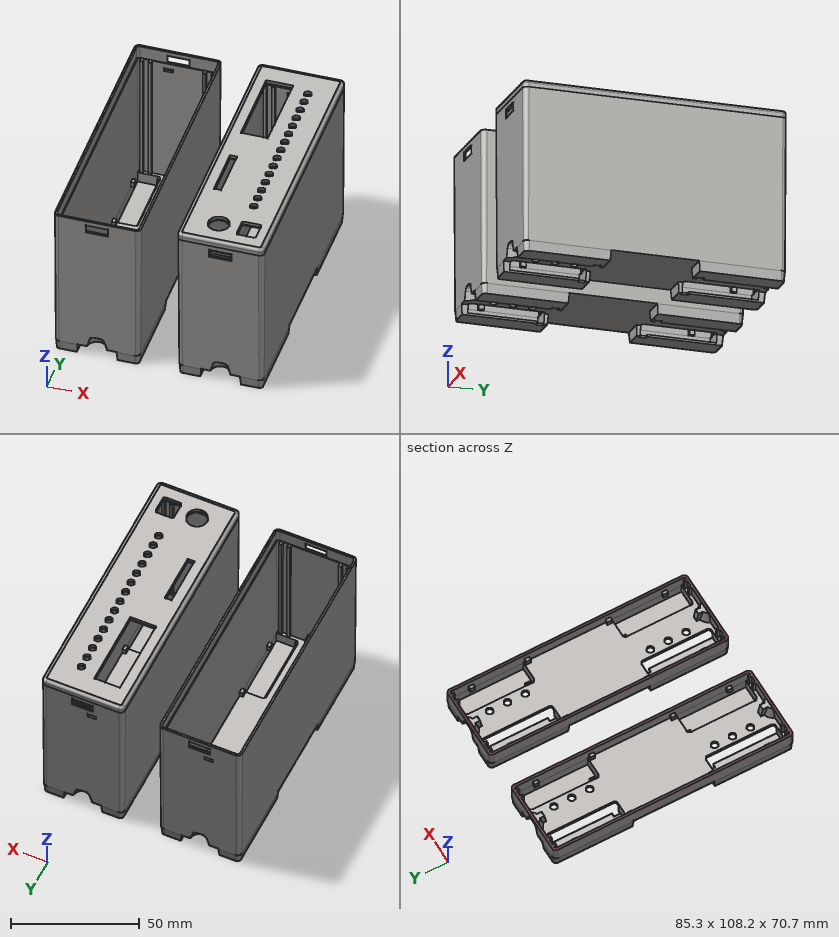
import cadquery as cq
import math


length = 108.2
width = 35.1
total_width = 85.3
module_pitch = total_width - width
corner_radius = 2.0

foot_height = 4.2
rim_z = 67.8
top_z = 70.7

wall = 1.3
floor_thickness = 1.3
lip_depth = 5.7
lip_wall = 0.9
ledge_width = 0.3
shell_inset = 0.3
wall_draft = math.degrees(math.atan2(shell_inset, rim_z - foot_height))
floor_width = width - 2 * shell_inset
floor_length = length - 2 * shell_inset
inner_width = floor_width - 2 * wall
inner_length = floor_length - 2 * wall
ledge_z = rim_z - lip_depth
floor_top_z = foot_height + floor_thickness
cavity_width = width - 2 * (lip_wall + ledge_width)
cavity_length = length - 2 * (lip_wall + ledge_width)
cavity_radius = corner_radius - lip_wall
cavity_draft = math.degrees(math.atan2((cavity_width - inner_width) / 2, ledge_z - floor_top_z))

foot_draft = 5.0
foot_inner_x = 7.9
foot_inner_y = 18.1
foot_plate = 0.9
pocket_inner_x = 6.3
pocket_inner_y = 19.8
pocket_outer_y = 51.1
pocket_radius = 1.3
notch_outer_x = 9.8
notch_outer_y = 22.6

hole_diameter = 3.0
floor_hole_x = 3.4
floor_hole_ys = (26.1, 34.1, 42.1)

recess_radius = 4.1
recess_top_radius = 2.6
recess_height = 5.1
recess_fillet = 2.2
housing_radius = 5.1
housing_top_radius = 3.2
housing_height = 6.0
rib_width = 2.3
rib_base_reach = 6.3
rib_top_reach = 5.2

guide_xs = (11.0, 14.5)
guide_width = 1.2
guide_depth = 1.1
stop_ys = (18.2, 43.3)
stop_width = 2.2
stop_depth = 1.4
stop_height = 2.2

window_width = 9.1
window_top_z = rim_z - 2.1
window_bottom_z = rim_z - 5.6

slot_x = -3.9
slot_width = 3.7
slot_height = 1.3
slot_top_z = window_bottom_z - 2.8

lid_fillet = 1.1
lid_thickness = 2.0
skirt_wall = 1.1
skirt_gap = 0.1
hook_gap = 0.4
hook_face_height = 1.2
hook_setback = 0.1
skirt_width = width - 2 * (lip_wall + skirt_gap)
skirt_length = length - 2 * (lip_wall + skirt_gap)
skirt_bottom_z = ledge_z + skirt_gap

plate_margin = 1.5
plate_thickness = 1.4
plate_radius = 0.5

led_count = 15
led_x = 6.1
led_first_y = 41.8
led_last_y = -29.3
led_pitch = (led_first_y - led_last_y) / (led_count - 1)
display_left, display_right = -11.9, -0.9
display_bottom, display_top = 11.6, 44.9
card_right = -9.0
card_bottom, card_top = -23.8, -2.6
button_x = -3.8
button_diameter = 8.5
socket_x = 8.4
socket_width = 7.9
socket_length = 8.2
socket_radius = 0.9
control_y = -43.5

SIDES = (-1, 1)


def block(x0, x1, y0, y1, z0, z1):
    """Box between opposite corners given in any order."""
    return (
        cq.Workplane("XY")
        .box(abs(x1 - x0), abs(y1 - y0), abs(z1 - z0))
        .translate(((x0 + x1) / 2, (y0 + y1) / 2, (z0 + z1) / 2))
    )


def rounded_block(size_x, size_y, radius, z0, z1):
    """Upright prism with rounded corners, centred on the Z axis."""
    return block(-size_x / 2, size_x / 2, -size_y / 2, size_y / 2, z0, z1).edges("|Z").fillet(radius)


def tapered_down(size_x, size_y, radius, z, depth, draft):
    """Rounded prism hanging down from height z and narrowing by the draft angle."""
    outline = cq.Sketch().rect(size_x, size_y).vertices().fillet(radius)
    plane = cq.Plane(origin=(0, 0, z), normal=(0, 0, -1))
    return cq.Workplane(plane).placeSketch(outline).extrude(depth, taper=draft)


def cone(bottom_radius, top_radius, height, y):
    """Upright truncated cone standing on the underside of the floor."""
    solid = cq.Solid.makeCone(bottom_radius, top_radius, height)
    return cq.Workplane(solid).translate((0, y, foot_height))


def feet():
    """Four corner feet cut out of one drafted slab."""
    slab = tapered_down(floor_width, floor_length, corner_radius, foot_height, foot_height, foot_draft)
    corners = cq.Workplane("XY")
    for side_x in SIDES:
        for side_y in SIDES:
            middle_x = side_x * (foot_inner_x + width / 2)
            middle_y = side_y * (foot_inner_y + length / 2)
            plane = cq.Plane(origin=(middle_x, middle_y, foot_height), normal=(0, 0, -1))
            corner = cq.Workplane(plane).rect(width, length).extrude(foot_height, taper=foot_draft)
            corners = corners.add(corner)
    return slab.intersect(corners.combine())


def foot_pockets():
    """Pockets through the floor into each foot, with a notch through the foot plate."""
    pockets = cq.Workplane("XY")
    for side_x in SIDES:
        for side_y in SIDES:
            pocket = block(
                side_x * pocket_inner_x, side_x * inner_width / 2,
                side_y * pocket_inner_y, side_y * pocket_outer_y,
                foot_plate, floor_top_z,
            )
            pocket = pocket.edges("|Z").edges("<X" if side_x > 0 else ">X").fillet(pocket_radius)
            notch = block(
                side_x * pocket_inner_x, side_x * notch_outer_x,
                side_y * pocket_inner_y, side_y * notch_outer_y,
                0, foot_height,
            )
            pockets = pockets.add(pocket.union(notch))
    return pockets.combine()


def floor_holes():
    """Two diagonal rows of mounting holes."""
    points = [(side * floor_hole_x, side * y) for side in SIDES for y in floor_hole_ys]
    return (
        cq.Workplane("XY", origin=(0, 0, foot_height))
        .pushPoints(points)
        .circle(hole_diameter / 2)
        .extrude(floor_thickness)
    )


def recess_housing(side_y):
    """Conical bump and rib that cover the recess inside the box, trimmed to the end wall."""
    bump = cone(housing_radius, housing_top_radius, housing_height, 0)
    rib_top_z = foot_height + housing_height
    rib = (
        cq.Workplane("YZ")
        .polyline([
            (0, foot_height), (rib_base_reach, foot_height), (rib_top_reach, rib_top_z), (0, rib_top_z),
        ])
        .close()
        .extrude(rib_width / 2, both=True)
    )
    wall_y = (length - inner_length) / 2
    inside = block(-housing_radius, housing_radius, wall_y / 2, 2 * housing_radius, foot_height, rib_top_z)
    housing = bump.union(rib).intersect(inside).translate((0, -length / 2, 0))
    return housing if side_y < 0 else housing.mirror("XZ")


def wall_details():
    """Guide ribs up to the ledge on the end walls and small stops on the side walls."""
    details = cq.Workplane("XY")
    for side_x in SIDES:
        for side_y in SIDES:
            for x in guide_xs:
                details = details.add(block(
                    side_x * x - guide_width / 2, side_x * x + guide_width / 2,
                    side_y * (floor_length - wall) / 2, side_y * (inner_length / 2 - guide_depth),
                    foot_height, ledge_z,
                ))
            for y in stop_ys:
                details = details.add(block(
                    side_x * (inner_width + wall) / 2, side_x * (inner_width / 2 - stop_depth),
                    side_y * y - stop_width / 2, side_y * y + stop_width / 2,
                    floor_top_z, floor_top_z + stop_height,
                ))
    return details.combine()


def make_box():
    """One open box module centred on the Z axis."""
    shell = tapered_down(width, length, corner_radius, rim_z, rim_z - foot_height, wall_draft)
    cavity = tapered_down(
        cavity_width, cavity_length, cavity_radius, ledge_z, ledge_z - floor_top_z, cavity_draft
    )
    lip = rounded_block(
        width - 2 * lip_wall, length - 2 * lip_wall, corner_radius - lip_wall, ledge_z, rim_z
    )
    window = block(
        -window_width / 2, window_width / 2, -length / 2, length / 2, window_bottom_z, window_top_z
    )
    slot = block(
        slot_x - slot_width / 2, slot_x + slot_width / 2,
        cavity_length / 2 - wall, length / 2,
        slot_top_z - slot_height, slot_top_z,
    )
    box = shell.cut(cavity).cut(lip).union(feet()).union(wall_details())
    for side_y in SIDES:
        recess = cone(recess_radius, recess_top_radius, recess_height, side_y * length / 2)
        recess = recess.faces(">Z").edges().fillet(recess_fillet)
        box = box.union(recess_housing(side_y)).cut(recess)
    return box.cut(window).cut(slot).cut(foot_pockets()).cut(floor_holes())


def top_openings():
    """Openings shared by the lid and its faceplate."""
    z0 = top_z - lid_thickness
    leds = (
        cq.Workplane("XY", origin=(0, 0, z0))
        .pushPoints([(led_x, led_first_y - i * led_pitch) for i in range(led_count)])
        .circle(hole_diameter / 2)
        .extrude(lid_thickness)
    )
    button = (
        cq.Workplane("XY", origin=(button_x, control_y, z0))
        .circle(button_diameter / 2)
        .extrude(lid_thickness)
    )
    socket = rounded_block(socket_width, socket_length, socket_radius, z0, top_z)
    socket = socket.translate((socket_x, control_y, 0))
    display = block(display_left, display_right, display_bottom, display_top, z0, top_z)
    card_slot = block(display_left, card_right, card_bottom, card_top, z0, top_z)
    return leds.add(button).add(socket).add(display).add(card_slot).combine()


def plate_blank():
    """Faceplate outline before its openings are cut."""
    return rounded_block(
        width - 2 * plate_margin, length - 2 * plate_margin, plate_radius, top_z - plate_thickness, top_z
    )


def snap_hook():
    """Hook on the -Y skirt: an upright face above a sloping lead-in."""
    root_y = -skirt_length / 2 + skirt_wall
    front_y = -length / 2 + hook_setback
    hook_top = window_top_z - hook_gap
    return (
        cq.Workplane("YZ")
        .polyline([
            (root_y, hook_top),
            (front_y, hook_top),
            (front_y, hook_top - hook_face_height),
            (-skirt_length / 2, skirt_bottom_z),
            (root_y, skirt_bottom_z),
        ])
        .close()
        .extrude(window_width / 2 - hook_gap, both=True)
    )


def make_lid():
    """Cap with a rounded top edge, a skirt inside the box lip and two snap hooks."""
    cap = rounded_block(width, length, corner_radius, rim_z, top_z).faces(">Z").edges().fillet(lid_fillet)
    skirt_radius = corner_radius - lip_wall - skirt_gap
    skirt = rounded_block(skirt_width, skirt_length, skirt_radius, skirt_bottom_z, rim_z)
    hollow = block(
        skirt_wall - skirt_width / 2, skirt_width / 2 - skirt_wall,
        skirt_wall - skirt_length / 2, skirt_length / 2 - skirt_wall,
        skirt_bottom_z, top_z - lid_thickness,
    )
    hook = snap_hook()
    lid = cap.union(skirt).cut(hollow).union(hook).union(hook.mirror("XZ"))
    return lid.cut(plate_blank()).cut(top_openings())


def make_faceplate():
    """Plate that fills the recess in the lid top."""
    return plate_blank().cut(top_openings())


lid_x = module_pitch / 2
boxes = [make_box().translate((side * module_pitch / 2, 0, 0)) for side in SIDES]
lid = make_lid().translate((lid_x, 0, 0))
faceplate = make_faceplate().translate((lid_x, 0, 0))

result = cq.Compound.makeCompound([
    *[box.solids().val() for box in boxes],
    lid.solids().val(),
    faceplate.solids().val(),
])